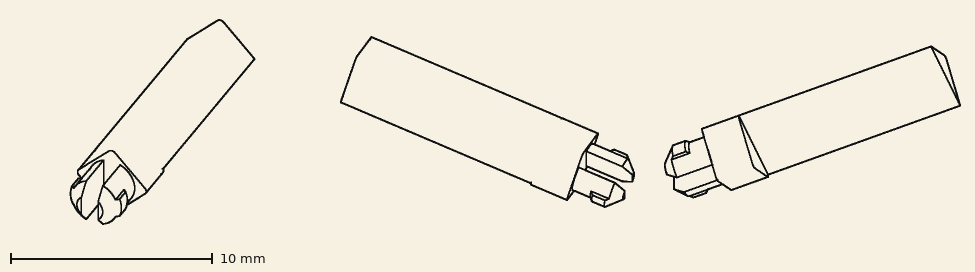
import cadquery as cq
import math

total_length = 14.8
diamond_width = 3.79
corner_radius = 0.24
peg_length = 2.5
full_section_length = 1.97
upper_half_floor = 0.1

shank_radius = 1.26
tip_radius = 0.71
slot_width = 0.92
catch_radius = 1.4
catch_width = 1.04
catch_start = 0.95
catch_ramp_end = 1.12

bar_length = total_length - peg_length
diamond_side = (diamond_width + 2 * corner_radius * (math.sqrt(2) - 1)) / math.sqrt(2)
shank_length = peg_length - (shank_radius - tip_radius)
catch_nose_start = peg_length - (catch_radius - tip_radius)
ramp_root_radius = catch_radius - (catch_ramp_end - catch_start)


def make_bar():
    """Rounded diamond bar with its lower half removed behind the front section."""
    bar = (
        cq.Workplane("XZ")
        .rect(diamond_side, diamond_side)
        .extrude(-bar_length)
        .edges("|Y")
        .fillet(corner_radius)
        .rotate((0, 0, 0), (0, 1, 0), 45)
    )
    relief = cq.Workplane("XY").box(
        diamond_width, bar_length - full_section_length, diamond_width, centered=(True, False, False)
    )
    return bar.cut(relief.translate((0, full_section_length, upper_half_floor - diamond_width)))


def revolve_profile(points):
    """Revolve (radius, y) points about the Y axis."""
    return cq.Workplane("XY").polyline(points).close().revolve(360, (0, 0, 0), (0, 1, 0))


def make_peg():
    """Coned round peg with a catch on either side, split by a vertical slot."""
    shank = revolve_profile([
        (0, 0),
        (shank_radius, 0),
        (shank_radius, -shank_length),
        (tip_radius, -peg_length),
        (0, -peg_length),
    ])
    catch_ring = revolve_profile([
        (0, -catch_start),
        (ramp_root_radius, -catch_start),
        (catch_radius, -catch_ramp_end),
        (catch_radius, -catch_nose_start),
        (tip_radius, -peg_length),
        (0, -peg_length),
    ])
    catch_band = cq.Workplane("XZ").rect(2 * catch_radius, catch_width).extrude(peg_length)
    slot = cq.Workplane("XZ").rect(slot_width, 2 * catch_radius).extrude(peg_length)
    return shank.union(catch_ring.intersect(catch_band)).cut(slot)


result = make_bar().union(make_peg())